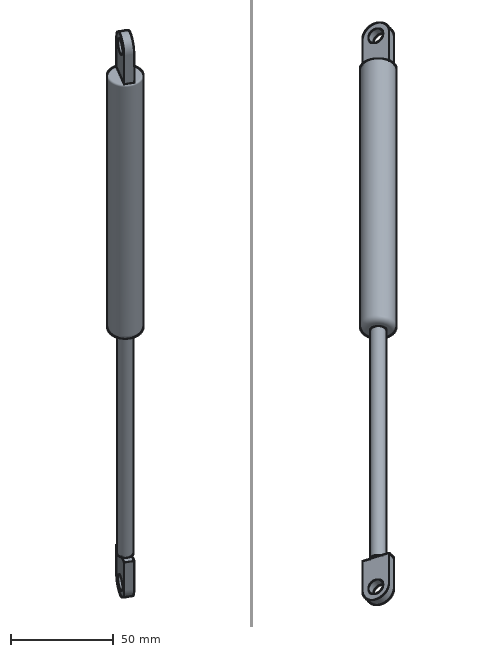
import cadquery as cq

TOTAL_LENGTH = 340.0
CYLINDER_LENGTH = 155.0
ROD_LENGTH = 135.0
EYE_LENGTH = (TOTAL_LENGTH - CYLINDER_LENGTH - ROD_LENGTH) / 2

CYLINDER_DIAMETER = 18.0
ROD_DIAMETER = 8.0
LOWER_EDGE_RADIUS = 3.0
UPPER_EDGE_RADIUS = 1.0

EYE_WIDTH = 15.0
EYE_THICKNESS = 5.0
EYE_HOLE_DIAMETER = 8.0

TOP_Z = TOTAL_LENGTH / 2
BOTTOM_Z = -TOP_Z
CYLINDER_TOP_Z = TOP_Z - EYE_LENGTH
ROD_BOTTOM_Z = BOTTOM_Z + EYE_LENGTH
CYLINDER_BOTTOM_Z = ROD_BOTTOM_Z + ROD_LENGTH


def make_eye(base_z, direction):
    """Flat eye rising (direction 1) or hanging (direction -1) from base_z."""
    half_width = EYE_WIDTH / 2
    tip_z = base_z + direction * EYE_LENGTH
    hole_z = tip_z - direction * half_width
    plate = (
        cq.Workplane("XZ")
        .moveTo(-half_width, base_z)
        .lineTo(-half_width, hole_z)
        .threePointArc((0, tip_z), (half_width, hole_z))
        .lineTo(half_width, base_z)
        .close()
        .extrude(EYE_THICKNESS / 2, both=True)
    )
    hole = (
        cq.Workplane("XZ")
        .center(0, hole_z)
        .circle(EYE_HOLE_DIAMETER / 2)
        .extrude(EYE_THICKNESS, both=True)
    )
    return plate.cut(hole)


def make_cylinder():
    """Cylinder with rounded end edges and an eye on its upper end."""
    barrel = (
        cq.Workplane("XY", origin=(0, 0, CYLINDER_BOTTOM_Z))
        .circle(CYLINDER_DIAMETER / 2)
        .extrude(CYLINDER_LENGTH)
        .faces("<Z")
        .edges()
        .fillet(LOWER_EDGE_RADIUS)
        .faces(">Z")
        .edges()
        .fillet(UPPER_EDGE_RADIUS)
    )
    return barrel.union(make_eye(CYLINDER_TOP_Z, 1))


def make_rod():
    """Rod that meets the lower face of the cylinder, with an eye on its lower end."""
    shaft = (
        cq.Workplane("XY", origin=(0, 0, ROD_BOTTOM_Z))
        .circle(ROD_DIAMETER / 2)
        .extrude(ROD_LENGTH)
    )
    return shaft.union(make_eye(ROD_BOTTOM_Z, -1))


cylinder = make_cylinder()
rod = make_rod()

result = cq.Compound.makeCompound([cylinder.val(), rod.val()])